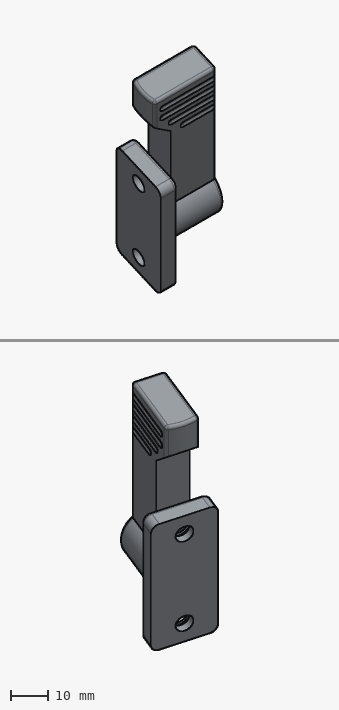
import cadquery as cq
import math

plate_width = 20.0
plate_height = 45.0
plate_thickness = 5.5
plate_corner_radius = 2.5
hole_diameter = 5.3
hole_spacing = 32.0
countersink_start_y = 2.5
countersink_end_y = 4.65
countersink_diameter = 9.0
edge_radius = 1.0

total_height = 77.5
total_depth = 22.0
hub_diameter = 17.05
hub_centre_z = plate_height / 2
arm_width = 10.0
arm_depth = 15.1
arm_front_y = total_depth - arm_depth

hook_reach = 21.3
hook_front_y = total_depth - hook_reach
hook_front_height = 10.1
hook_overhang = hook_reach - arm_depth
crown_radius = 15.0
crown_rise = crown_radius - math.sqrt(crown_radius**2 - (arm_width / 2) ** 2)

groove_lengths = [17.5, 17.5, 14.7, 10.8]
groove_width = 2.1
groove_depth = 0.4
groove_pitch = 4.0
first_groove_drop = 4.5
groove_radius = ((groove_width / 2) ** 2 + groove_depth**2) / (2 * groove_depth)


def make_screw_hole_cutter(z):
    """Through hole that flares to a countersink and a short head recess at the back."""
    hole_radius = hole_diameter / 2
    head_radius = countersink_diameter / 2
    return (
        cq.Workplane("XY", origin=(0, 0, z))
        .lineTo(hole_radius, 0)
        .lineTo(hole_radius, countersink_start_y)
        .lineTo(head_radius, countersink_end_y)
        .lineTo(head_radius, plate_thickness)
        .lineTo(0, plate_thickness)
        .close()
        .revolve(360, (0, 0, 0), (0, 1, 0))
    )


def make_plate():
    plate = (
        cq.Workplane("XY")
        .box(plate_width, plate_thickness, plate_height, centered=(True, False, False))
        .edges("|Y")
        .fillet(plate_corner_radius)
        .faces(">Y")
        .edges()
        .fillet(edge_radius)
    )
    for offset in (-hole_spacing / 2, hole_spacing / 2):
        plate = plate.cut(make_screw_hole_cutter(hub_centre_z + offset))
    return plate


def make_hub():
    return (
        cq.Workplane("XZ", origin=(0, plate_thickness, hub_centre_z))
        .circle(hub_diameter / 2)
        .extrude(plate_thickness - total_depth)
        .faces(">Y")
        .edges()
        .fillet(edge_radius)
    )


def make_arm():
    half_width = arm_width / 2
    crown_side_y = hook_front_y + crown_rise
    bar = (
        cq.Workplane("XY", origin=(0, 0, hub_centre_z))
        .moveTo(-half_width, total_depth)
        .lineTo(-half_width, crown_side_y)
        .threePointArc((0, hook_front_y), (half_width, crown_side_y))
        .lineTo(half_width, total_depth)
        .close()
        .extrude(total_height - hub_centre_z)
        .edges("|Z or >Z")
        .fillet(edge_radius)
    )
    slope_top_z = total_height - hook_front_height
    clearance = (
        cq.Workplane("YZ")
        .moveTo(hook_front_y, 0)
        .lineTo(arm_front_y, 0)
        .lineTo(arm_front_y, slope_top_z - hook_overhang)
        .lineTo(hook_front_y, slope_top_z)
        .close()
        .extrude(half_width, both=True)
    )
    return bar.cut(clearance)


def make_groove_cutter(side, length, z):
    """Ball-ended rod sunk groove_depth into one flank; side is -1 or 1."""
    x = side * (arm_width / 2 + groove_radius - groove_depth)
    end_y = total_depth - length
    rod = cq.Workplane("XZ", origin=(x, end_y, z)).circle(groove_radius).extrude(-length)
    ball = cq.Workplane("XY", origin=(x, end_y, z)).sphere(groove_radius)
    return rod.union(ball)


def make_lever():
    lever = make_arm().union(make_hub())
    for index, length in enumerate(groove_lengths):
        z = total_height - first_groove_drop - index * groove_pitch
        for side in (-1, 1):
            lever = lever.cut(make_groove_cutter(side, length, z))
    return lever


plate = make_plate()
lever = make_lever()
result = cq.Compound.makeCompound([plate.val(), lever.val()])